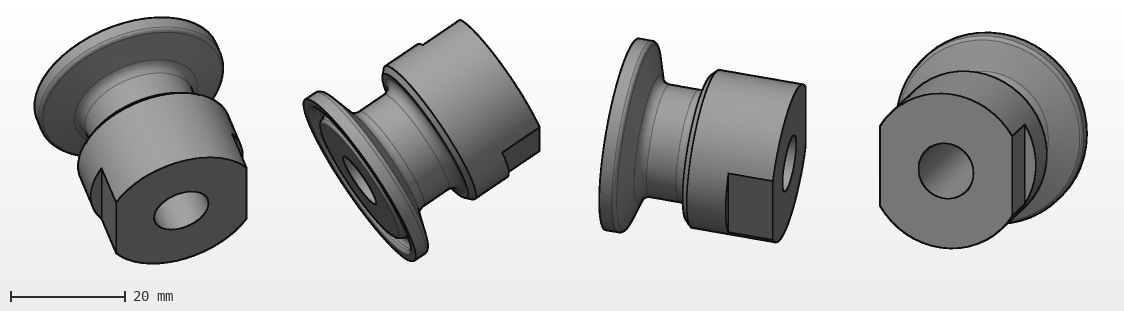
import cadquery as cq
import math

length = 30.0
flange_radius = 17.0
bore_radius = 5.0

cone_angle = math.radians(20)
cone_start = 2.8
rim_fillet = 0.8

neck_radius = 10.0
neck_fillet = 2.0
body_start = 14.0
body_radius = 14.0
body_chamfer = 1.0

flat_length = 8.0
across_flats = 24.0

groove_outer_radius = 15.75
groove_radius = 1.15
groove_inner_radius = 11.73
lip_radius = 0.8
groove_draft = math.radians(20)


def revolve_about_x(profile):
    return profile.close().revolve(360, (0, 0, 0), (1, 0, 0))


def rounded_at(body, x, radius, fillet):
    """Fillet the circular edge of the given radius at position x."""
    margin = 0.05
    box = cq.selectors.BoxSelector(
        (x - margin, -radius - margin, -radius - margin),
        (x + margin, radius + margin, radius + margin),
        boundingbox=True,
    )
    return body.edges(box).edges("%CIRCLE").fillet(fillet)


def turned_blank():
    cone_end = cone_start + (flange_radius - neck_radius) * math.tan(cone_angle)
    blank = revolve_about_x(
        cq.Workplane("XY")
        .moveTo(0, bore_radius)
        .lineTo(0, flange_radius)
        .lineTo(cone_start, flange_radius)
        .lineTo(cone_end, neck_radius)
        .lineTo(body_start, neck_radius)
        .lineTo(body_start, body_radius - body_chamfer)
        .lineTo(body_start + body_chamfer, body_radius)
        .lineTo(length, body_radius)
        .lineTo(length, bore_radius)
    )
    blank = rounded_at(blank, cone_start, flange_radius, rim_fillet)
    blank = rounded_at(blank, cone_end, neck_radius, neck_fillet)
    return rounded_at(blank, body_start, neck_radius, neck_fillet)


def face_groove():
    """Round-bottomed ring whose drafted walls run tangent into rounded lips on both sides."""
    sine = math.sin(groove_draft)
    cosine = math.cos(groove_draft)
    center_radius = (groove_inner_radius + groove_outer_radius) / 2
    half_width = (groove_outer_radius - groove_inner_radius) / 2

    half_angle = (math.pi / 2 - groove_draft) / 2
    lip_middle_depth = lip_radius * (1 - math.cos(half_angle))
    lip_middle_offset = half_width - lip_radius * math.sin(half_angle)
    lip_end_depth = lip_radius * (1 - sine)
    lip_end_offset = half_width - lip_radius * cosine
    wall_end_offset = groove_radius * cosine
    wall_end_depth = lip_end_depth + (lip_end_offset - wall_end_offset) / math.tan(groove_draft)
    bottom_depth = wall_end_depth + groove_radius * (1 - sine)

    def inner(depth, offset):
        return (depth, center_radius - offset)

    def outer(depth, offset):
        return (depth, center_radius + offset)

    return revolve_about_x(
        cq.Workplane("XY")
        .moveTo(*inner(0, half_width))
        .threePointArc(inner(lip_middle_depth, lip_middle_offset), inner(lip_end_depth, lip_end_offset))
        .lineTo(*inner(wall_end_depth, wall_end_offset))
        .threePointArc((bottom_depth, center_radius), outer(wall_end_depth, wall_end_offset))
        .lineTo(*outer(lip_end_depth, lip_end_offset))
        .threePointArc(outer(lip_middle_depth, lip_middle_offset), outer(0, half_width))
    )


def wrench_flats():
    """Two blocks that trim the +Y and -Y sides of the body."""
    cutters = cq.Workplane("XY")
    for side in (-1, 1):
        center_y = side * (across_flats + body_radius) / 2
        cutters = cutters.add(
            cq.Workplane("XY")
            .box(flat_length, body_radius, 2 * body_radius)
            .translate((length - flat_length / 2, center_y, 0))
        )
    return cutters.combine()


result = turned_blank().cut(face_groove()).cut(wrench_flats())